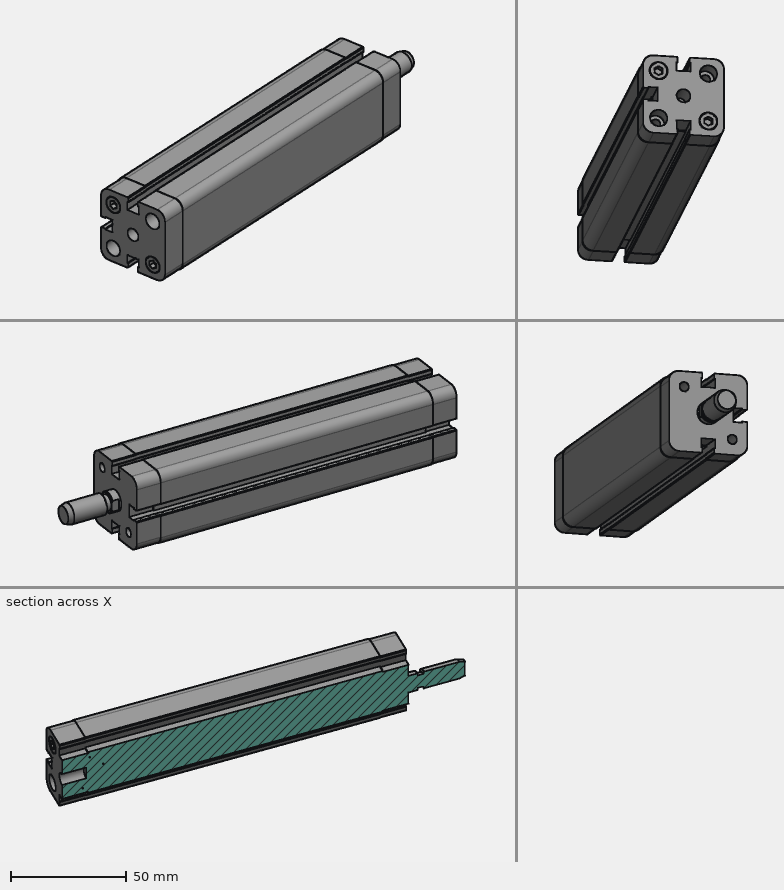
import cadquery as cq
import math

TOTAL_LENGTH = 189.5
ROD_REACH = 26.5
BODY_LENGTH = TOTAL_LENGTH - ROD_REACH
CAP_LENGTH = 12.1
CAP_SIDE = 35.8
PROFILE_SIDE = 36.2
CORNER_RADIUS = 4.5

SLOT_MOUTH_WIDTH = 5.3
SLOT_MOUTH_CHAMFER = 0.4
SLOT_INNER_WIDTH = 6.3
SLOT_LIP = 2.5
CAP_SLOT_DEPTH = 6.5
PROFILE_SLOT_DEPTH = 6.0
SLOT_ANGLES = (0, 90, 180)

HOLE_OFFSET = 11.0
THROUGH_DIAMETER = 4.2
COUNTERBORE_DIAMETER = 7.5
COUNTERBORE_DEPTH = 7.5
THROUGH_HOLES = ((1, 1), (-1, -1))
SCREWS = ((-1, 1), (1, -1))
SCREW_HOLE_DIAMETER = 8.0
SCREW_HEAD_DIAMETER = 7.5
SCREW_GAP_DEPTH = 1.0
SOCKET_FLATS = 3.6
SOCKET_DEPTH = 2.8
CENTRE_DIAMETER = 6.0
CENTRE_DEPTH = 11.4

ROD_DIAMETER = 10.0
ROD_FLATS = 8.5
COLLAR_LENGTH = 4.4
COLLAR_CHAMFER = 0.4
FLAT_START = 1.0
NECK_DIAMETER = 7.5
NECK_LENGTH = 2.5
TIP_DIAMETER = 8.3
TIP_LENGTH = 2.7
THREAD_RUNOUT = 0.4


def facing_plus_y(y):
    """Workplane at station y whose normal is +Y, local x = -X and local y = Z."""
    return cq.Workplane(cq.Plane(origin=(0, y, 0), xDir=(-1, 0, 0), normal=(0, 1, 0)))


def cylinder(diameter, start, length, x=0.0, z=0.0):
    """Cylinder along +Y from y = start, centred on x, z."""
    return facing_plus_y(start).center(-x, z).circle(diameter / 2).extrude(length)


def slot(side, depth, start, length):
    """T-slot cutter in the +Z face of a bar of the given side, with a chamfered mouth."""
    top = side / 2
    floor = top - depth
    ledge = top - SLOT_LIP
    half_mouth = SLOT_MOUTH_WIDTH / 2
    half_inner = SLOT_INNER_WIDTH / 2
    half_outline = [
        (half_inner, floor),
        (half_inner, ledge),
        (half_mouth, ledge),
        (half_mouth, top - SLOT_MOUTH_CHAMFER),
        (half_mouth + SLOT_MOUTH_CHAMFER, top),
    ]
    mirrored = [(-x, z) for x, z in reversed(half_outline)]
    return facing_plus_y(start).polyline(half_outline + mirrored).close().extrude(length)


def slotted_bar(side, slot_depth, start, length):
    """Square bar with rounded corners and a slot on each slotted side."""
    bar = facing_plus_y(start).rect(side, side).extrude(length).edges("|Y").fillet(CORNER_RADIUS)
    for angle in SLOT_ANGLES:
        bar = bar.cut(slot(side, slot_depth, start, length).rotate((0, 0, 0), (0, 1, 0), -angle))
    return bar


def body():
    """Extruded profile between two slightly smaller end caps."""
    profile_length = BODY_LENGTH - 2 * CAP_LENGTH
    front_cap = slotted_bar(CAP_SIDE, CAP_SLOT_DEPTH, 0, CAP_LENGTH)
    profile = slotted_bar(PROFILE_SIDE, PROFILE_SLOT_DEPTH, CAP_LENGTH, profile_length)
    rear_cap = slotted_bar(CAP_SIDE, CAP_SLOT_DEPTH, BODY_LENGTH - CAP_LENGTH, CAP_LENGTH)
    return front_cap.union(profile).union(rear_cap)


def through_hole(x, z):
    """Counterbored mounting hole running the full body length."""
    bore = cylinder(THROUGH_DIAMETER, 0, BODY_LENGTH, x, z)
    return bore.union(cylinder(COUNTERBORE_DIAMETER, 0, COUNTERBORE_DEPTH, x, z))


def screw_outline(x, z):
    """Hex socket and ring-shaped gap that leave a flush screw head in its hole."""
    socket_corners = SOCKET_FLATS / math.cos(math.pi / 6)
    socket = facing_plus_y(0).center(-x, z).transformed(rotate=(0, 0, 90))
    head = cylinder(SCREW_HEAD_DIAMETER, 0, SCREW_GAP_DEPTH, x, z)
    gap = cylinder(SCREW_HOLE_DIAMETER, 0, SCREW_GAP_DEPTH, x, z).cut(head)
    return gap.union(socket.polygon(6, socket_corners).extrude(SOCKET_DEPTH))


def front_holes():
    """Cutters for the mounting holes, screws and centre hole of the -Y face."""
    cutters = cylinder(CENTRE_DIAMETER, 0, CENTRE_DEPTH)
    for side_x, side_z in THROUGH_HOLES:
        cutters = cutters.union(through_hole(side_x * HOLE_OFFSET, side_z * HOLE_OFFSET))
    for side_x, side_z in SCREWS:
        cutters = cutters.union(screw_outline(side_x * HOLE_OFFSET, side_z * HOLE_OFFSET))
    return cutters


def rod():
    """Piston rod: collar with two wrench flats, relief neck, then the thread with a tapered tip."""
    thread_start = BODY_LENGTH + COLLAR_LENGTH + NECK_LENGTH
    rod_radius = ROD_DIAMETER / 2
    neck_radius = NECK_DIAMETER / 2
    half_profile = [
        (0, BODY_LENGTH),
        (rod_radius, BODY_LENGTH),
        (rod_radius, BODY_LENGTH + COLLAR_LENGTH - COLLAR_CHAMFER),
        (rod_radius - COLLAR_CHAMFER, BODY_LENGTH + COLLAR_LENGTH),
        (neck_radius, BODY_LENGTH + COLLAR_LENGTH),
        (neck_radius, thread_start),
        (rod_radius, thread_start + THREAD_RUNOUT),
        (rod_radius, TOTAL_LENGTH - TIP_LENGTH),
        (TIP_DIAMETER / 2, TOTAL_LENGTH),
        (0, TOTAL_LENGTH),
    ]
    turned = cq.Workplane("XY").polyline(half_profile).close().revolve(360, (0, 0, 0), (0, 1, 0))
    flat_centre = (ROD_FLATS + ROD_DIAMETER) / 2
    flats = (
        facing_plus_y(BODY_LENGTH + FLAT_START)
        .pushPoints([(-flat_centre, 0), (flat_centre, 0)])
        .rect(ROD_DIAMETER, ROD_DIAMETER)
        .extrude(COLLAR_LENGTH - FLAT_START)
    )
    return turned.cut(flats)


result = body().cut(front_holes()).union(rod())